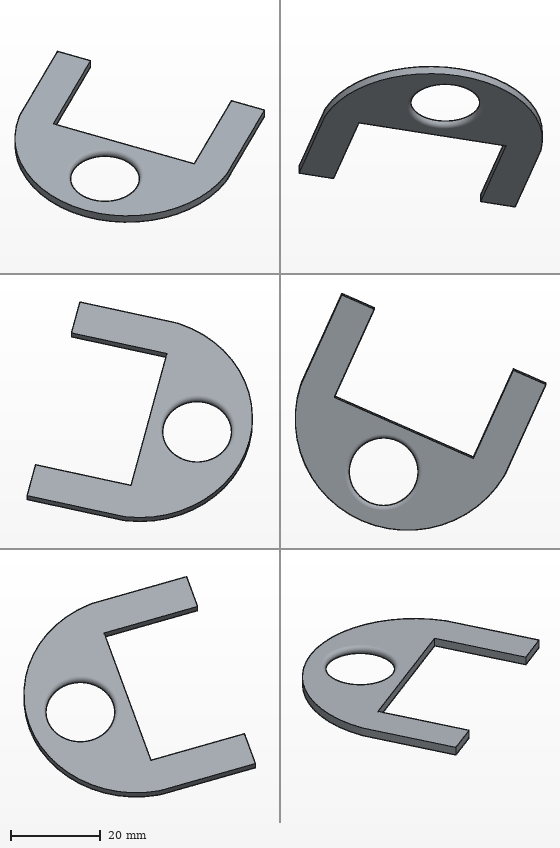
import cadquery as cq
import math

width = 50.0
length = 45.05
thickness = 2.0
half_width = width / 2

nose_radius = 25.1
blend_radius = 10.0

leg_width = 8.0
slot_depth = 21.95

eye_radius = 7.65
rim_radius = thickness / 2
eye_to_nose_tip = 12.0


def make_plate():
    """Flat plate: two straight sides, tangent blends and a round nose."""
    blend_center_x = half_width - blend_radius
    center_distance = nose_radius - blend_radius
    blend_angle = math.acos(blend_center_x / center_distance)
    blend_center_y = nose_radius - center_distance * math.sin(blend_angle)

    def blend_point(angle):
        """Point on the right-hand blend, turned down from the +X direction."""
        x = blend_center_x + blend_radius * math.cos(angle)
        y = blend_center_y - blend_radius * math.sin(angle)
        return x, y

    nose_x, nose_y = blend_point(blend_angle)
    middle_x, middle_y = blend_point(blend_angle / 2)
    return (
        cq.Workplane("XY")
        .moveTo(-half_width, length)
        .lineTo(-half_width, blend_center_y)
        .threePointArc((-middle_x, middle_y), (-nose_x, nose_y))
        .threePointArc((0, 0), (nose_x, nose_y))
        .threePointArc((middle_x, middle_y), (half_width, blend_center_y))
        .lineTo(half_width, length)
        .close()
        .extrude(thickness)
    )


def make_slot():
    """Rectangular opening that separates the two legs."""
    return (
        cq.Workplane("XY")
        .center(0, length - slot_depth / 2)
        .rect(width - 2 * leg_width, slot_depth)
        .extrude(thickness)
    )


def make_eye():
    """Through hole, narrowest at mid-thickness, with a half-round rim."""
    flare_radius = eye_radius + rim_radius
    profile = (
        cq.Workplane("XZ")
        .lineTo(flare_radius, 0)
        .threePointArc((eye_radius, thickness / 2), (flare_radius, thickness))
        .lineTo(0, thickness)
        .close()
    )
    eye = profile.revolve(360, (0, 0, 0), (0, 1, 0))
    return eye.translate((0, eye_to_nose_tip, 0))


result = make_plate().cut(make_slot()).cut(make_eye())